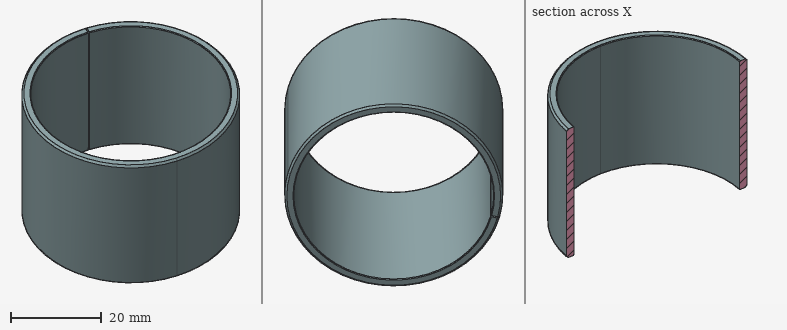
import cadquery as cq

outer_diameter = 48.0
wall = 2.0
height = 35.0
outer_chamfer = 0.5
inner_chamfer = 0.2
slit_width = 0.35

outer_radius = outer_diameter / 2
inner_radius = outer_radius - wall
half_height = height / 2


def wall_ring():
    """Revolve the wall section, chamfered on all four corners."""
    rim_outer = outer_radius - outer_chamfer
    rim_inner = inner_radius + inner_chamfer
    outer_edge = half_height - outer_chamfer
    inner_edge = half_height - inner_chamfer
    section = (
        cq.Workplane("XZ")
        .moveTo(inner_radius, -inner_edge)
        .lineTo(rim_inner, -half_height)
        .lineTo(rim_outer, -half_height)
        .lineTo(outer_radius, -outer_edge)
        .lineTo(outer_radius, outer_edge)
        .lineTo(rim_outer, half_height)
        .lineTo(rim_inner, half_height)
        .lineTo(inner_radius, inner_edge)
        .close()
    )
    return section.revolve(360, (0, 0, 0), (0, 1, 0))


def slit():
    """Full-height cut through the wall on the -X side, lying between Y = 0 and the slit width."""
    cutter = cq.Workplane("XY").box(outer_radius, slit_width, height)
    return cutter.translate((-outer_radius, slit_width / 2, 0))


result = wall_ring().cut(slit())